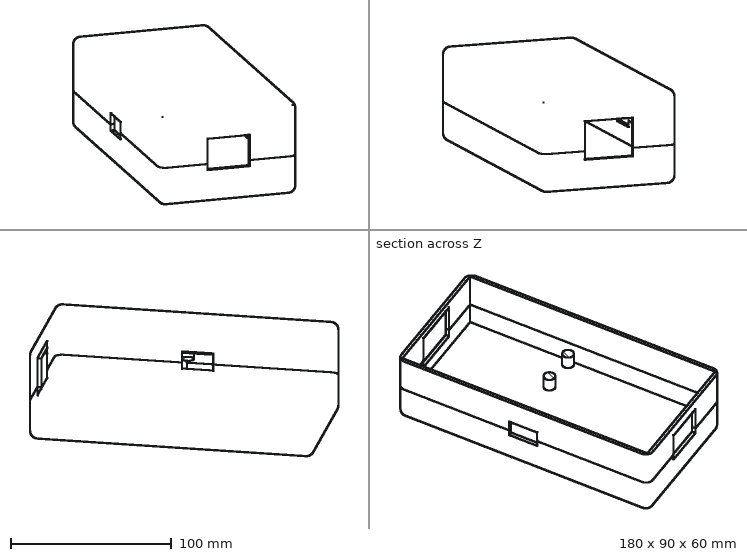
import cadquery as cq

LENGTH = 180.0
WIDTH = 90.0
HEIGHT = 60.0
EDGE_RADIUS = 5.0
WALL = 2.5
FLOOR = 10.0

BASE_HEIGHT = 25.0
BOTTOM_Z = -HEIGHT / 2
TOP_Z = HEIGHT / 2
JOINT_Z = BOTTOM_Z + BASE_HEIGHT

LEFT_WINDOW_WIDTH = 32.0
LEFT_WINDOW_BELOW = 5.4
LEFT_WINDOW_ABOVE = 19.0

RIGHT_WINDOW_WIDTH = 27.5
RIGHT_WINDOW_BELOW = 4.0
RIGHT_WINDOW_ABOVE = 16.4

FRONT_WINDOW_WIDTH = 20.0
FRONT_WINDOW_BELOW = 4.0
FRONT_WINDOW_ABOVE = 7.4

POST_DIAMETER = 7.5
POST_DROP = 20.0
POST_SPACING = 23.4

CUTTER_DEPTH = 4 * WALL


def block(length, width, bottom, top, x=0, y=0):
    """Box centred on (x, y) that spans bottom to top in Z."""
    return (
        cq.Workplane("XY", origin=(x, y, bottom))
        .box(length, width, top - bottom, centered=(True, True, False))
    )


def make_shell():
    """Closed hollow box with every outer edge rounded."""
    outer = block(LENGTH, WIDTH, BOTTOM_Z, TOP_Z).edges().fillet(EDGE_RADIUS)
    cavity = block(LENGTH - 2 * WALL, WIDTH - 2 * WALL, BOTTOM_Z + FLOOR, TOP_Z - WALL)
    return outer.cut(cavity)


def cut_windows(shell):
    """Open the -X, +X and -Y walls across the joint plane."""
    left = block(
        CUTTER_DEPTH, LEFT_WINDOW_WIDTH,
        JOINT_Z - LEFT_WINDOW_BELOW, JOINT_Z + LEFT_WINDOW_ABOVE, x=-LENGTH / 2,
    )
    right = block(
        CUTTER_DEPTH, RIGHT_WINDOW_WIDTH,
        JOINT_Z - RIGHT_WINDOW_BELOW, JOINT_Z + RIGHT_WINDOW_ABOVE, x=LENGTH / 2,
    )
    front = block(
        FRONT_WINDOW_WIDTH, CUTTER_DEPTH,
        JOINT_Z - FRONT_WINDOW_BELOW, JOINT_Z + FRONT_WINDOW_ABOVE, y=-WIDTH / 2,
    )
    return shell.cut(left).cut(right).cut(front)


def make_base(shell):
    """Part of the shell below the joint plane."""
    return shell.intersect(block(LENGTH, WIDTH, BOTTOM_Z, JOINT_Z))


def make_lid(shell):
    """Part of the shell above the joint plane, with its hanging posts."""
    lid = shell.intersect(block(LENGTH, WIDTH, JOINT_Z, TOP_Z))
    ceiling_z = TOP_Z - WALL
    post_length = POST_DROP - WALL
    for side in (-1, 1):
        post = (
            cq.Workplane("XY", origin=(0, side * POST_SPACING / 2, ceiling_z))
            .circle(POST_DIAMETER / 2)
            .extrude(-post_length)
        )
        lid = lid.union(post)
    return lid


enclosure = cut_windows(make_shell())
base = make_base(enclosure)
lid = make_lid(enclosure)

result = cq.Compound.makeCompound([base.val(), lid.val()])